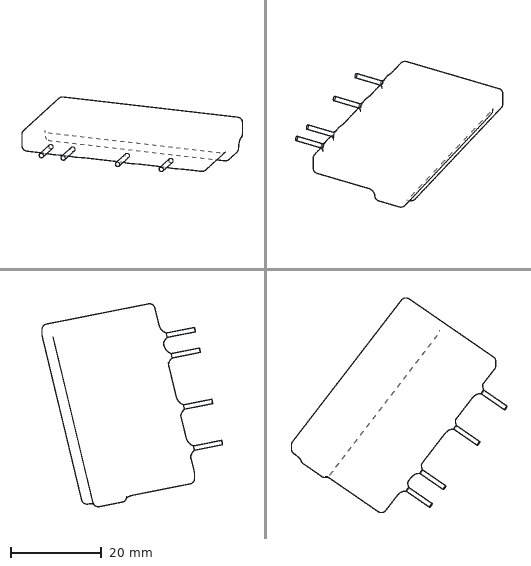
import cadquery as cq
import math

width = 43.2
depth = 25.45
plate_thickness = 5.1
edge_radius = 1.25

foot_drop = 2.5
foot_setback = 2.55
foot_length = 7.6
foot_root_radius = 1.2

pin_positions = [7.6, 12.7, 25.4, 35.6]
pin_radius = 0.5
pin_reach = 7.6
collar_height = 1.25
collar_radius = 2.68
collar_base_depth = edge_radius

collar_spread = collar_radius - pin_radius
flank_radius = (collar_spread**2 + collar_height**2) / (2 * collar_height)
flank_mid_angle = math.asin(collar_spread / flank_radius) / 2

pin_height = foot_drop + plate_thickness / 2
top_height = foot_drop + plate_thickness
tolerance = 0.05


def pin_axis_plane(x):
    """Horizontal plane through a pin's axis, with local Y pointing out of the front face."""
    return cq.Workplane(cq.Plane(origin=(x, 0, pin_height), xDir=(1, 0, 0), normal=(0, 0, -1)))


def make_blank():
    """Sharp-edged plate and foot, with the foot's two root corners rounded."""
    foot_rear = depth - foot_setback
    foot_front = foot_rear - foot_length
    blank = (
        cq.Workplane("YZ")
        .moveTo(0, foot_drop)
        .lineTo(foot_front, foot_drop)
        .lineTo(foot_front, 0)
        .lineTo(foot_rear, 0)
        .lineTo(foot_rear, foot_drop)
        .lineTo(depth, foot_drop)
        .lineTo(depth, top_height)
        .lineTo(0, top_height)
        .close()
        .extrude(width)
    )
    root_edges = cq.selectors.BoxSelector(
        (0, tolerance, foot_drop - tolerance),
        (width, depth - tolerance, foot_drop + tolerance),
    )
    return blank.edges("|X").edges(root_edges).fillet(foot_root_radius)


def make_collar(x):
    """Flared collar around a pin, trimmed to the plate's thickness."""
    flank_middle = (
        collar_radius - flank_radius * math.sin(flank_mid_angle),
        flank_radius * (1 - math.cos(flank_mid_angle)),
    )
    flare = (
        pin_axis_plane(x)
        .moveTo(0, -collar_base_depth)
        .lineTo(collar_radius, -collar_base_depth)
        .lineTo(collar_radius, 0)
        .threePointArc(flank_middle, (pin_radius, collar_height))
        .lineTo(0, collar_height)
        .close()
        .revolve(360, (0, 0), (0, 1))
    )
    slab = cq.Workplane("XY", origin=(x, 0, pin_height)).box(
        2 * collar_radius, 2 * depth, plate_thickness
    )
    return flare.intersect(slab)


def round_outer_edges(body):
    """Round every outer edge, including where the collars meet the top and bottom."""
    front_bottom_edges = cq.selectors.BoxSelector(
        (-tolerance, -collar_height, foot_drop - tolerance),
        (width + tolerance, tolerance, foot_drop + tolerance),
        boundingbox=True,
    )
    rear_bottom_edge = cq.selectors.BoxSelector(
        (-tolerance, depth - tolerance, foot_drop - tolerance),
        (width + tolerance, depth + tolerance, foot_drop + tolerance),
        boundingbox=True,
    )
    edges = (
        body.faces("<X or >X or >Z or <Z").edges()
        .add(body.edges(front_bottom_edges))
        .add(body.edges(rear_bottom_edge))
    )
    unique_edges = set(edges.vals())
    return body.newObject(list(unique_edges)).fillet(edge_radius)


def make_pin(x):
    """Straight round pin that starts on the flat end of its collar."""
    return (
        cq.Workplane("XZ", origin=(x, -collar_height, pin_height))
        .circle(pin_radius)
        .extrude(pin_reach - collar_height)
    )


pins = [make_pin(x) for x in pin_positions]

housing = make_blank()
for position in pin_positions:
    housing = housing.union(make_collar(position))
housing = round_outer_edges(housing)

result = cq.Compound.makeCompound([housing.val(), *[pin.val() for pin in pins]])